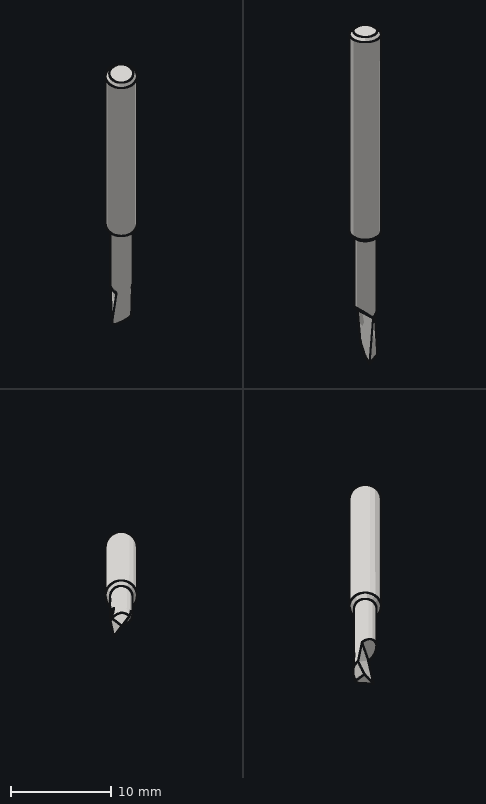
import cadquery as cq
import math

total_length = 38.1
shank_radius = 1.58
shank_end_chamfer = 0.4
neck_radius = 1.125
shoulder_bottom = 14.25
shoulder_top = shoulder_bottom + shank_radius - neck_radius

blade_length = 5.1
tip_radius = 1.25
root_edge_angle = 205.0
root_heel_angle = 283.0
tip_edge_angle = 180.0
tip_heel_angle = 259.0

nose_chamfer = 1.15
end_relief_angle = 8.0
end_rise = 0.1
cut_size = 7.62


def polar(radius, angle):
    """Point at a radius and an angle in degrees."""
    return (radius * math.cos(math.radians(angle)), radius * math.sin(math.radians(angle)))


def section_wire(radius, edge_angle, heel_angle, z):
    """Blade section: flat clearance side, circular back and flat rake side."""
    far_angle = edge_angle + 180
    return (
        cq.Workplane("XY")
        .workplane(offset=z)
        .moveTo(*polar(radius, edge_angle))
        .lineTo(*polar(radius, heel_angle))
        .threePointArc(polar(radius, (heel_angle + far_angle) / 2), polar(radius, far_angle))
        .close()
        .val()
    )


def make_body():
    """Shank and neck, turned about Z."""
    profile = [
        (0, blade_length),
        (neck_radius, blade_length),
        (neck_radius, shoulder_bottom),
        (shank_radius, shoulder_top),
        (shank_radius, total_length - shank_end_chamfer),
        (shank_radius - shank_end_chamfer, total_length),
        (0, total_length),
    ]
    return cq.Workplane("XZ").polyline(profile).close().revolve(360, (0, 0, 0), (0, 1, 0))


def make_blade():
    """Twisted blade, ruled between its root and tip sections."""
    tip = section_wire(tip_radius, tip_edge_angle, tip_heel_angle, 0)
    root = section_wire(neck_radius, root_edge_angle, root_heel_angle, blade_length)
    return cq.Workplane(cq.Solid.makeLoft([tip, root], True))


def neck_ramp(distance, angle):
    """Wedge that bevels the neck end at 45 degrees, outside a flat facing the given angle."""
    outward = cq.Vector(*polar(1, angle), 0)
    along_flat = cq.Vector(*polar(1, angle - 90), 0)
    plane = cq.Plane(origin=outward * distance + cq.Vector(0, 0, blade_length),
                     xDir=outward, normal=along_flat)
    rise = shoulder_bottom - blade_length
    return (
        cq.Workplane(plane)
        .polyline([(0, 0), (rise, 0), (rise, rise)])
        .close()
        .extrude(cut_size / 2, both=True)
    )


def tip_cutter():
    """Space below the relieved end face and the 45 degree nose chamfer."""
    chamfer_start = tip_radius - nose_chamfer
    profile = [
        (-cut_size, 0),
        (-tip_radius, 0),
        (chamfer_start, end_rise),
        (chamfer_start + cut_size, end_rise + cut_size),
        (chamfer_start + cut_size, -cut_size),
        (-cut_size, -cut_size),
    ]
    cutter = cq.Workplane("XZ").polyline(profile).close().extrude(cut_size, both=True)
    return cutter.rotate((0, 0, 0), (1, 0, 0), -end_relief_angle)


rake_side_angle = root_edge_angle - 90
clearance_side_angle = (root_edge_angle + root_heel_angle) / 2
clearance_distance = neck_radius * math.cos(math.radians((root_heel_angle - root_edge_angle) / 2))

body = make_body()
body = body.cut(neck_ramp(0, rake_side_angle))
body = body.cut(neck_ramp(clearance_distance, clearance_side_angle))
blade = make_blade().cut(tip_cutter())
result = body.union(blade)